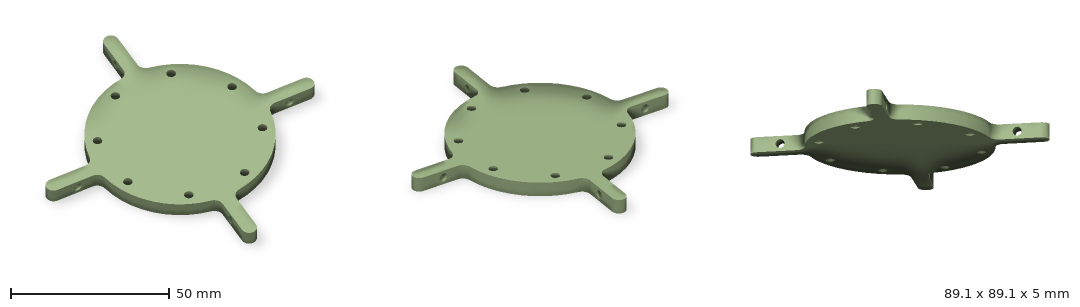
import cadquery as cq
import math

overall_size = 89.1
thickness = 5.0
disk_radius = 30.2
arm_count = 4
arm_width = 5.0
arm_angle = 67.5
root_fillet = 3.0
rim_hole_count = 8
rim_hole_diameter = 3.0
rim_hole_circle_radius = 26.2
cross_hole_diameter = 2.85
cross_hole_distance = 38.0

tip_radius = arm_width / 2
tip_center_distance = (overall_size / 2 - tip_radius) / math.sin(math.radians(arm_angle))
arm_angles = [arm_angle + i * 360 / arm_count for i in range(arm_count)]


def make_arm():
    """Arm along +X from the disk centre, with a full-round tip."""
    bar = (
        cq.Workplane("XY")
        .rect(tip_center_distance, arm_width)
        .extrude(thickness)
        .translate((tip_center_distance / 2, 0, 0))
    )
    tip = cq.Workplane("XY").center(tip_center_distance, 0).circle(tip_radius).extrude(thickness)
    return bar.union(tip)


def make_cross_hole():
    """Pin that pierces an arm along +X sideways at mid-thickness."""
    return (
        cq.Workplane("XZ")
        .center(cross_hole_distance, thickness / 2)
        .circle(cross_hole_diameter / 2)
        .extrude(arm_width, both=True)
    )


def rotate_about_z(body, angle):
    return body.rotate((0, 0, 0), (0, 0, 1), angle)


body = cq.Workplane("XY").circle(disk_radius).extrude(thickness)
for angle in arm_angles:
    body = body.union(rotate_about_z(make_arm(), angle))

root_distance = math.sqrt(disk_radius**2 - tip_radius**2)
for angle in arm_angles:
    turn = math.radians(angle)
    for side in (-tip_radius, tip_radius):
        x = root_distance * math.cos(turn) - side * math.sin(turn)
        y = root_distance * math.sin(turn) + side * math.cos(turn)
        root_edge = cq.selectors.NearestToPointSelector((x, y, thickness / 2))
        body = body.edges("|Z").edges(root_edge).fillet(root_fillet)

rim_holes = (
    cq.Workplane("XY")
    .polarArray(rim_hole_circle_radius, 0, 360, rim_hole_count)
    .circle(rim_hole_diameter / 2)
    .extrude(thickness)
)
body = body.cut(rim_holes)

for angle in arm_angles:
    body = body.cut(rotate_about_z(make_cross_hole(), angle))

result = body